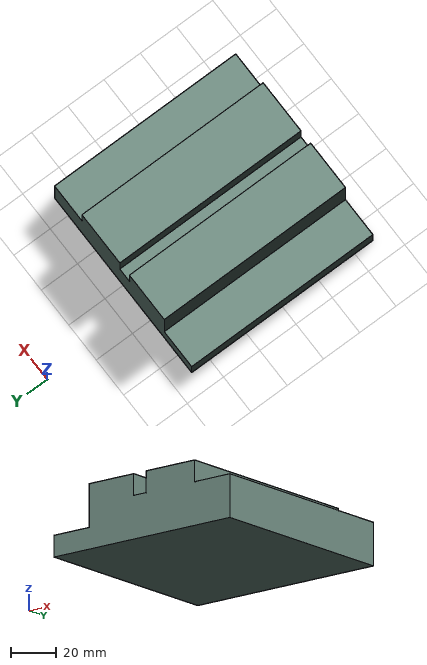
import cadquery as cq

length_x = 100.0
depth_y = 100.0
height_z = 30.0

step_width = 20.0
left_step_height = 10.0
right_step_height = 20.0

groove_start = 45.4
groove_width = 7.0
groove_depth = 10.0


def stepped_block():
    """Block with a low step on the -X side and a higher step on the +X side."""
    right_step_start = length_x - step_width
    profile = [
        (0, 0),
        (length_x, 0),
        (length_x, right_step_height),
        (right_step_start, right_step_height),
        (right_step_start, height_z),
        (step_width, height_z),
        (step_width, left_step_height),
        (0, left_step_height),
    ]
    return cq.Workplane("XZ").polyline(profile).close().extrude(-depth_y)


def groove_cutter():
    """Bar that clears the groove over the full depth of the block."""
    return (
        cq.Workplane("XY")
        .box(groove_width, depth_y, groove_depth, centered=False)
        .translate((groove_start, 0, height_z - groove_depth))
    )


result = stepped_block().cut(groove_cutter())